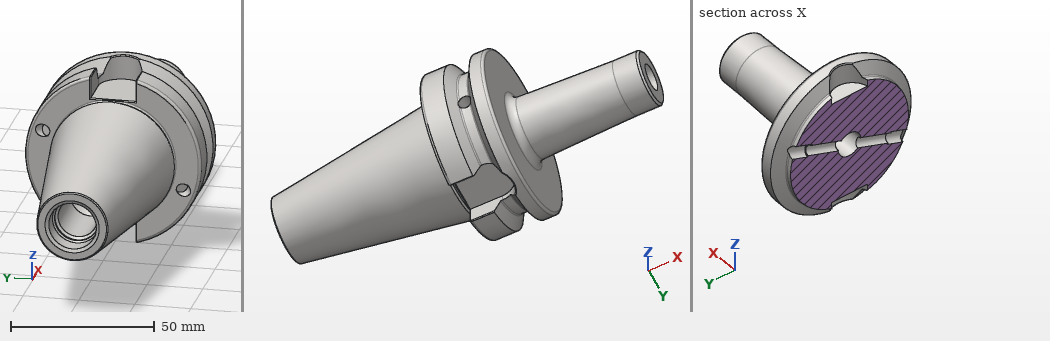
import math

import cadquery as cq


gauge_diameter = 44.45
taper_slope = 7 / 48
taper_length = 65.4
rear_chamfer = 0.4
taper_end = 0.4
neck_start = 1.2
neck_radius = 21.7

flange_start = 2.0
flange_end = 27.0
flange_radius = 31.5
flange_edge_round = 1.0
groove_center = 16.5
groove_floor_width = 4.2
groove_floor_radius = 26.5
groove_flank_angle = math.radians(60)
groove_corner_round = 0.6

nose_end = 77.0
nose_radius = 10.5
nose_straight_length = 10.0
nose_draft = math.radians(2)
nose_chamfer = 0.8
nose_root_fillet = 3.0

through_radius = 5.0
rear_bore_radius = 8.5
rear_bore_depth = 6.8
rear_bore_mouth_radius = 9.7
relief_radius = 7.9
relief_length = 0.8
thread_radius = 7.0
thread_end_depth = 30.0
bore_mouth_angle = math.radians(30)

slot_width = 16.1
slot_floor_height = 22.5
slot_end = 23.0
slot_chamfer = 0.4

port_angle = 70
recess_center_radius = 26.8
recess_diameter = 4.5
recess_tilt = math.radians(30)
recess_depth = 2.5
radial_hole_position = 16.6
radial_hole_diameter = 4.0
radial_counterbore_diameter = 5.0
radial_counterbore_floor_radius = 19.0

edge_tolerance = 0.001


def revolve_about_axis(outline):
    return outline.close().revolve(360, (0, 0, 0), (1, 0, 0))


def arc_middle(center_x, center_radius, radius, side_x, side_radius):
    """Middle point of a quarter arc on the given side (+1 or -1 each way) of its center."""
    reach = radius * math.sqrt(0.5)
    return (center_x + side_x * reach, center_radius + side_radius * reach)


def make_body():
    """Solid of revolution: taper shank, relieved neck, grooved flange and drafted nose."""
    rear = -taper_length
    rear_radius = gauge_diameter / 2 - taper_length * taper_slope
    taper_end_radius = gauge_diameter / 2 + taper_end * taper_slope
    neck_fillet = flange_start - neck_start
    flank_height = flange_radius - groove_floor_radius
    flank_width = flank_height / math.tan(groove_flank_angle)
    floor_start = groove_center - groove_floor_width / 2
    floor_end = groove_center + groove_floor_width / 2
    draft_start = flange_end + nose_root_fillet
    draft_end = nose_end - nose_straight_length
    nose_root_radius = nose_radius + (draft_end - draft_start) * math.tan(nose_draft)
    edge = flange_edge_round
    edge_center_r = flange_radius - edge
    outline = (
        cq.Workplane("XZ")
        .moveTo(rear, 0)
        .lineTo(rear, rear_radius - rear_chamfer)
        .lineTo(rear + rear_chamfer, rear_radius + rear_chamfer * taper_slope)
        .lineTo(taper_end, taper_end_radius)
        .lineTo(neck_start, neck_radius)
        .threePointArc(
            arc_middle(neck_start, neck_radius + neck_fillet, neck_fillet, 1, -1),
            (flange_start, neck_radius + neck_fillet),
        )
        .lineTo(flange_start, edge_center_r)
        .threePointArc(
            arc_middle(flange_start + edge, edge_center_r, edge, -1, 1),
            (flange_start + edge, flange_radius),
        )
        .lineTo(floor_start - flank_width, flange_radius)
        .lineTo(floor_start, groove_floor_radius)
        .lineTo(floor_end, groove_floor_radius)
        .lineTo(floor_end + flank_width, flange_radius)
        .lineTo(flange_end - edge, flange_radius)
        .threePointArc(
            arc_middle(flange_end - edge, edge_center_r, edge, 1, 1),
            (flange_end, edge_center_r),
        )
        .lineTo(flange_end, nose_root_radius + nose_root_fillet)
        .threePointArc(
            arc_middle(draft_start, nose_root_radius + nose_root_fillet, nose_root_fillet, -1, -1),
            (draft_start, nose_root_radius),
        )
        .lineTo(draft_end, nose_radius)
        .lineTo(nose_end - nose_chamfer, nose_radius)
        .lineTo(nose_end, nose_radius - nose_chamfer)
        .lineTo(nose_end, 0)
    )
    return revolve_about_axis(outline)


def make_bore():
    """Central bore: chamfered pilot, relief, thread core and through hole, with 45 degree steps."""
    rear = -taper_length
    mouth_end = rear + (rear_bore_mouth_radius - rear_bore_radius) * math.tan(bore_mouth_angle)
    bore_end = rear + rear_bore_depth
    relief_start = bore_end + rear_bore_radius - relief_radius
    relief_end = relief_start + relief_length
    thread_start = relief_end + relief_radius - thread_radius
    thread_end = rear + thread_end_depth
    through_start = thread_end + thread_radius - through_radius
    outline = (
        cq.Workplane("XZ")
        .moveTo(rear, 0)
        .lineTo(rear, rear_bore_mouth_radius)
        .lineTo(mouth_end, rear_bore_radius)
        .lineTo(bore_end, rear_bore_radius)
        .lineTo(relief_start, relief_radius)
        .lineTo(relief_end, relief_radius)
        .lineTo(thread_start, thread_radius)
        .lineTo(thread_end, thread_radius)
        .lineTo(through_start, through_radius)
        .lineTo(nose_end, through_radius)
        .lineTo(nose_end, 0)
    )
    return revolve_about_axis(outline)


def make_drive_slot():
    """Flat-floored slot on the +Z side with a full-round end."""
    height = flange_radius - slot_floor_height
    round_center = slot_end - slot_width / 2
    return (
        cq.Workplane("XY", origin=(0, 0, slot_floor_height))
        .moveTo(0, -slot_width / 2)
        .lineTo(round_center, -slot_width / 2)
        .threePointArc((slot_end, 0), (round_center, slot_width / 2))
        .lineTo(0, slot_width / 2)
        .close()
        .extrude(height)
    )


def make_slot_mouth():
    """Frustum that chamfers the slot walls and floor where they open on the flange rear face."""

    def section(x, growth):
        half_width = slot_width / 2 + growth
        floor = slot_floor_height - growth
        return cq.Wire.makePolygon(
            [
                cq.Vector(x, -half_width, floor),
                cq.Vector(x, half_width, floor),
                cq.Vector(x, half_width, flange_radius),
                cq.Vector(x, -half_width, flange_radius),
            ],
            close=True,
        )

    wide = section(flange_start, slot_chamfer)
    narrow = section(flange_start + slot_chamfer, 0)
    return cq.Workplane(cq.Solid.makeLoft([wide, narrow], True))


def make_coolant_recess():
    """Flat-bottomed recess that slopes in from the flange rear face towards the axis."""
    direction = cq.Vector(math.cos(recess_tilt), 0, -math.sin(recess_tilt))
    start = cq.Vector(flange_start, 0, recess_center_radius) - direction * recess_diameter
    length = recess_diameter + recess_depth
    return cq.Workplane(cq.Solid.makeCylinder(recess_diameter / 2, length, start, direction))


def make_radial_hole():
    """Stepped hole from the gripper groove into the central bore."""
    hole = (
        cq.Workplane("XY", origin=(radial_hole_position, 0, 0))
        .circle(radial_hole_diameter / 2)
        .extrude(flange_radius)
    )
    counterbore = (
        cq.Workplane("XY", origin=(radial_hole_position, 0, radial_counterbore_floor_radius))
        .circle(radial_counterbore_diameter / 2)
        .extrude(flange_radius - radial_counterbore_floor_radius)
    )
    return hole.union(counterbore)


def is_slot_rim(edge):
    """True for an edge where a drive slot breaks through the outer diameter of the flange."""
    points = [edge.positionAt(fraction) for fraction in (0, 0.5, 1)]
    return all(
        abs(math.hypot(point.y, point.z) - flange_radius) < edge_tolerance
        and abs(point.y) < slot_width / 2 + edge_tolerance
        and point.x < slot_end + edge_tolerance
        for point in points
    )


def is_groove_corner(edge):
    """True for a circle where the groove floor meets a groove flank."""
    points = [edge.positionAt(fraction) for fraction in (0, 0.5)]
    return all(
        abs(math.hypot(point.y, point.z) - groove_floor_radius) < edge_tolerance
        and abs(abs(point.x - groove_center) - groove_floor_width / 2) < edge_tolerance
        for point in points
    )


def cut_on_both_sides(body, cutter, angle=0):
    """Cut a shape modelled on the +Z side, turned by angle about X, and its opposite twin."""
    for turn in (angle, angle + 180):
        body = body.cut(cutter.rotate((0, 0, 0), (1, 0, 0), turn))
    return body


body = make_body()
body = body.edges().filter(is_groove_corner).fillet(groove_corner_round)
body = cut_on_both_sides(body, make_drive_slot())
body = body.edges().filter(is_slot_rim).chamfer(slot_chamfer)
body = cut_on_both_sides(body, make_slot_mouth())
body = cut_on_both_sides(body, make_coolant_recess(), -port_angle)
body = cut_on_both_sides(body, make_radial_hole(), -port_angle)
result = body.cut(make_bore())